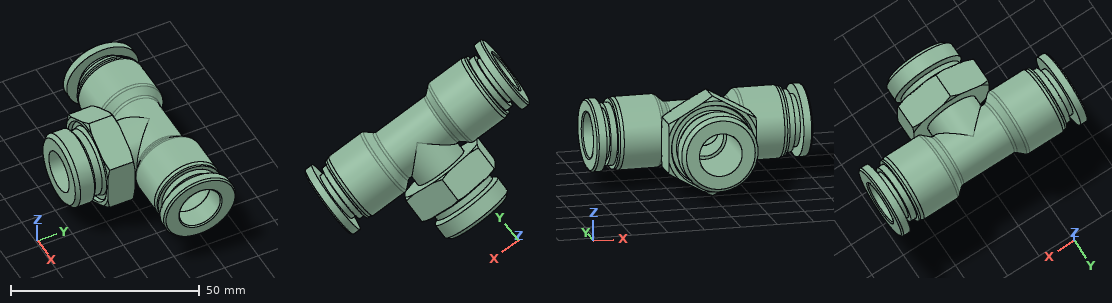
import cadquery as cq
import math


PIPE_D = 15.2
SLEEVE_D = 19.7
RIM_D = 16.9
PIPE_END_X = 8.45
SLEEVE_START_X = 11.0
TAPER_START_X = 22.0
TAPER_END_X = 22.9
LIP_D = 19.0
SLEEVE_END_X = 23.5
RIM_END_X = 25.3
CONE_FILLET = 1.1

FLOW_D = 10.0
TUBE_D = 12.15
TUBE_STOP_X = 8.9

FLANGE_Y = 21.55
FLANGE_Z = 19.55
FLANGE_OUTER_X = 29.6
FLANGE_INNER_X = 27.0
FLANGE_CHAMFER = 0.5
NECK_D = 14.2
NECK_END_X = 23.3
COLLET_BORE_D = 12.2
MOUTH_CHAMFER = 0.35

HEX_CORNERS = 27.7
HEX_BACK = 10.5
HEX_FRONT = 18.6
HEX_CHAMFER_D = 25.1
HEX_CHAMFER_LENGTH = 0.55
RECESS_D = 22.75
RECESS_DEPTH = 1.0
RECESS_TAPER = math.tan(math.radians(20))
GROOVE_D = 18.5
FLARE_START = 18.9
THREAD_D = 20.95
GROOVE_CONE_LENGTH = 0.8
THREAD_START = 21.7
THREAD_TIP_D = 18.9
STUD_END = 27.0
STUD_BORE_D = 11.7


def disc_x(diameter, start, end):
    """Cylinder along X between two X positions."""
    return cq.Workplane("YZ").workplane(offset=start).circle(diameter / 2).extrude(end - start)


def disc_y(diameter, start, end):
    """Cylinder around the branch axis between two distances towards -Y."""
    return cq.Workplane("XZ").workplane(offset=start).circle(diameter / 2).extrude(end - start)


def run_outside():
    """Outside of the run: one profile, the same on both sides of the centre, turned about X."""
    half_profile = [
        (PIPE_END_X, PIPE_D / 2),
        (SLEEVE_START_X, SLEEVE_D / 2),
        (TAPER_START_X, SLEEVE_D / 2),
        (TAPER_END_X, LIP_D / 2),
        (SLEEVE_END_X, LIP_D / 2),
        (SLEEVE_END_X, RIM_D / 2),
        (RIM_END_X, RIM_D / 2),
        (RIM_END_X, 0),
    ]
    mirrored_profile = [(-x, r) for x, r in reversed(half_profile)]
    run = cq.Workplane("XY").polyline(mirrored_profile + half_profile).close()
    run = run.revolve(360, (0, 0, 0), (1, 0, 0))
    margin = 0.05
    for side in (-1, 1):
        cone_ends = cq.selectors.BoxSelector(
            (side * (PIPE_END_X - margin), -SLEEVE_D, -SLEEVE_D),
            (side * (SLEEVE_START_X + margin), SLEEVE_D, SLEEVE_D),
        )
        run = run.edges("%CIRCLE").edges(cone_ends).fillet(CONE_FILLET)
    return run


def socket_bore():
    """Stepped bore of the +X socket: tube seat, then the seat of the collet neck."""
    return disc_x(TUBE_D, TUBE_STOP_X, NECK_END_X).union(disc_x(NECK_D, NECK_END_X, RIM_END_X))


def make_tee_body():
    """Run with a socket at each end, and the plain branch that butts against the stud."""
    body = run_outside().union(disc_y(PIPE_D, 0, HEX_BACK))
    body = body.cut(disc_x(FLOW_D, -RIM_END_X, RIM_END_X))
    body = body.cut(disc_y(FLOW_D, 0, HEX_BACK))
    bore = socket_bore()
    return body.cut(bore).cut(bore.mirror("YZ"))


def make_collet():
    """Collet of the +X socket: oval flange, neck and chamfered tube bore."""
    flange = (
        cq.Workplane("YZ")
        .workplane(offset=FLANGE_INNER_X)
        .ellipse(FLANGE_Y / 2, FLANGE_Z / 2)
        .extrude(FLANGE_OUTER_X - FLANGE_INNER_X)
        .faces(">X")
        .chamfer(FLANGE_CHAMFER)
    )
    collet = flange.union(disc_x(NECK_D, NECK_END_X, FLANGE_INNER_X))
    collet = collet.cut(disc_x(COLLET_BORE_D, NECK_END_X, FLANGE_OUTER_X))
    return collet.faces(">X").edges("%CIRCLE").chamfer(MOUTH_CHAMFER)


def hexagon():
    """Hexagon with its corners chamfered on both faces."""
    length = HEX_FRONT - HEX_BACK
    corner_r = HEX_CORNERS / 2
    prism = (
        cq.Workplane("XZ")
        .workplane(offset=HEX_BACK)
        .transformed(rotate=(0, 0, 90))
        .polygon(6, HEX_CORNERS)
        .extrude(length)
    )
    envelope = (
        cq.Workplane("XY")
        .moveTo(0, -HEX_BACK)
        .lineTo(HEX_CHAMFER_D / 2, -HEX_BACK)
        .lineTo(corner_r, -HEX_BACK - HEX_CHAMFER_LENGTH)
        .lineTo(corner_r, -HEX_FRONT + HEX_CHAMFER_LENGTH)
        .lineTo(HEX_CHAMFER_D / 2, -HEX_FRONT)
        .lineTo(0, -HEX_FRONT)
        .close()
        .revolve(360, (0, 0, 0), (0, 1, 0))
    )
    return prism.intersect(envelope)


def seal_recess():
    """Shallow round recess with a sloping wall, in the front face of the hexagon."""
    floor = HEX_FRONT - RECESS_DEPTH
    return (
        cq.Workplane("XY")
        .moveTo(0, -floor)
        .lineTo(RECESS_D / 2 - RECESS_DEPTH * RECESS_TAPER, -floor)
        .lineTo(RECESS_D / 2, -HEX_FRONT)
        .lineTo(0, -HEX_FRONT)
        .close()
        .revolve(360, (0, 0, 0), (0, 1, 0))
    )


def threaded_end():
    """Relief groove with a flared root, then the plain thread cylinder with conical ends."""
    floor = HEX_FRONT - RECESS_DEPTH
    groove_r = GROOVE_D / 2
    thread_r = THREAD_D / 2
    tip_r = THREAD_TIP_D / 2
    return (
        cq.Workplane("XY")
        .moveTo(0, -floor)
        .lineTo(groove_r + (FLARE_START - floor) * RECESS_TAPER, -floor)
        .lineTo(groove_r, -FLARE_START)
        .lineTo(groove_r, -THREAD_START + GROOVE_CONE_LENGTH)
        .lineTo(thread_r, -THREAD_START)
        .lineTo(thread_r, -STUD_END + thread_r - tip_r)
        .lineTo(tip_r, -STUD_END)
        .lineTo(0, -STUD_END)
        .close()
        .revolve(360, (0, 0, 0), (0, 1, 0))
    )


def make_stud():
    """Hexagon with the recessed front face, the threaded end and the through bore."""
    stud = hexagon().cut(seal_recess()).union(threaded_end())
    return stud.cut(disc_y(STUD_BORE_D, HEX_BACK, STUD_END))


tee_body = make_tee_body()
stud = make_stud()
collet = make_collet()
collets = [collet, collet.mirror("YZ")]

result = cq.Compound.makeCompound([tee_body.val(), stud.val(), *[c.val() for c in collets]])